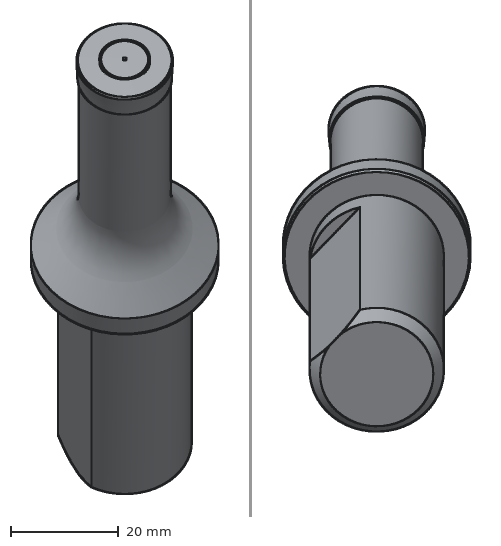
import cadquery as cq
import math

TOTAL_HEIGHT = 117.0
COLLAR_BOTTOM = 55.9
COLLAR_HEIGHT = 5.3
HEAD_HEIGHT = 5.8
CROWN_RISE = 0.4

SHANK_RADIUS = 25.0 / 2
COLLAR_RADIUS = 35.0 / 2
NECK_RADIUS = 17.2 / 2
HEAD_BOTTOM_RADIUS = 17.7 / 2
HEAD_TOP_RADIUS = 18.0 / 2
FACE_RADIUS = 17.4 / 2

FLARE_ARC_RADIUS = 14.0
FLARE_ANGLE = math.radians(45)

END_CHAMFER_RADIAL = 2.0
END_CHAMFER_HEIGHT = 2.1
COLLAR_CHAMFER_RADIAL = 0.4
COLLAR_CHAMFER_HEIGHT = 0.7
HEAD_TOP_CHAMFER_HEIGHT = 0.5
HEAD_UNDERCUT_HEIGHT = 0.4

FLAT_DISTANCE = 10.4
FLAT_TOP = 51.0

INSERT_RADIUS = 9.5 / 2
INSERT_LENGTH = HEAD_HEIGHT
INSERT_CHAMFER = 0.4
CENTRE_MARK_RADIUS = 0.4
CENTRE_MARK_DEPTH = 0.4

COLLAR_TOP = COLLAR_BOTTOM + COLLAR_HEIGHT
HEAD_BOTTOM = TOTAL_HEIGHT - HEAD_HEIGHT
FACE_EDGE = TOTAL_HEIGHT - CROWN_RISE
INSERT_EDGE = TOTAL_HEIGHT - CROWN_RISE * INSERT_RADIUS / FACE_RADIUS
INSERT_BOTTOM = TOTAL_HEIGHT - INSERT_LENGTH
CONE_TOP_RADIUS = NECK_RADIUS + FLARE_ARC_RADIUS * (1 - math.cos(FLARE_ANGLE))
CONE_TOP = COLLAR_TOP + (COLLAR_RADIUS - CONE_TOP_RADIUS) / math.tan(FLARE_ANGLE)
NECK_BOTTOM = CONE_TOP + FLARE_ARC_RADIUS * math.sin(FLARE_ANGLE)


def flare_arc_point(angle):
    """Radius and height on the flare arc, with the angle counted from its upper end."""
    return (
        NECK_RADIUS + FLARE_ARC_RADIUS * (1 - math.cos(angle)),
        NECK_BOTTOM - FLARE_ARC_RADIUS * math.sin(angle),
    )


def make_turned_blank():
    """Revolved shank, collar, flare, neck and head."""
    return (
        cq.Workplane("XZ")
        .moveTo(0, 0)
        .lineTo(SHANK_RADIUS - END_CHAMFER_RADIAL, 0)
        .lineTo(SHANK_RADIUS, END_CHAMFER_HEIGHT)
        .lineTo(SHANK_RADIUS, COLLAR_BOTTOM)
        .lineTo(COLLAR_RADIUS - COLLAR_CHAMFER_RADIAL, COLLAR_BOTTOM)
        .lineTo(COLLAR_RADIUS, COLLAR_BOTTOM + COLLAR_CHAMFER_HEIGHT)
        .lineTo(COLLAR_RADIUS, COLLAR_TOP)
        .lineTo(CONE_TOP_RADIUS, CONE_TOP)
        .threePointArc(flare_arc_point(FLARE_ANGLE / 2), (NECK_RADIUS, NECK_BOTTOM))
        .lineTo(NECK_RADIUS, HEAD_BOTTOM)
        .lineTo(HEAD_BOTTOM_RADIUS, HEAD_BOTTOM + HEAD_UNDERCUT_HEIGHT)
        .lineTo(HEAD_TOP_RADIUS, FACE_EDGE - HEAD_TOP_CHAMFER_HEIGHT)
        .lineTo(FACE_RADIUS, FACE_EDGE)
        .lineTo(0, TOTAL_HEIGHT)
        .close()
        .revolve(360, (0, 0), (0, 1))
    )


def make_flat_cutter():
    """Block that removes the -Y side of the shank up to the top of the flat."""
    return (
        cq.Workplane("XY")
        .box(2 * SHANK_RADIUS, SHANK_RADIUS, FLAT_TOP, centered=(True, False, False))
        .translate((0, -FLAT_DISTANCE - SHANK_RADIUS, 0))
    )


def make_insert_bore():
    """Blind bore in the head, with its floor at the insert's lower end."""
    return (
        cq.Workplane("XY", origin=(0, 0, INSERT_BOTTOM))
        .circle(INSERT_RADIUS)
        .extrude(INSERT_LENGTH)
    )


def make_punch():
    """Punch body with the shank flat and a blind bore for the insert."""
    return make_turned_blank().cut(make_flat_cutter()).cut(make_insert_bore())


def make_insert():
    """Insert that continues the head's shallow crown, with a chamfered rim and a centre mark."""
    return (
        cq.Workplane("XZ")
        .moveTo(0, INSERT_BOTTOM)
        .lineTo(INSERT_RADIUS, INSERT_BOTTOM)
        .lineTo(INSERT_RADIUS, INSERT_EDGE - INSERT_CHAMFER)
        .lineTo(INSERT_RADIUS - INSERT_CHAMFER, INSERT_EDGE)
        .lineTo(CENTRE_MARK_RADIUS, TOTAL_HEIGHT)
        .lineTo(0, TOTAL_HEIGHT - CENTRE_MARK_DEPTH)
        .close()
        .revolve(360, (0, 0), (0, 1))
    )


punch = make_punch()
insert = make_insert()
result = cq.Compound.makeCompound([punch.val(), insert.val()])